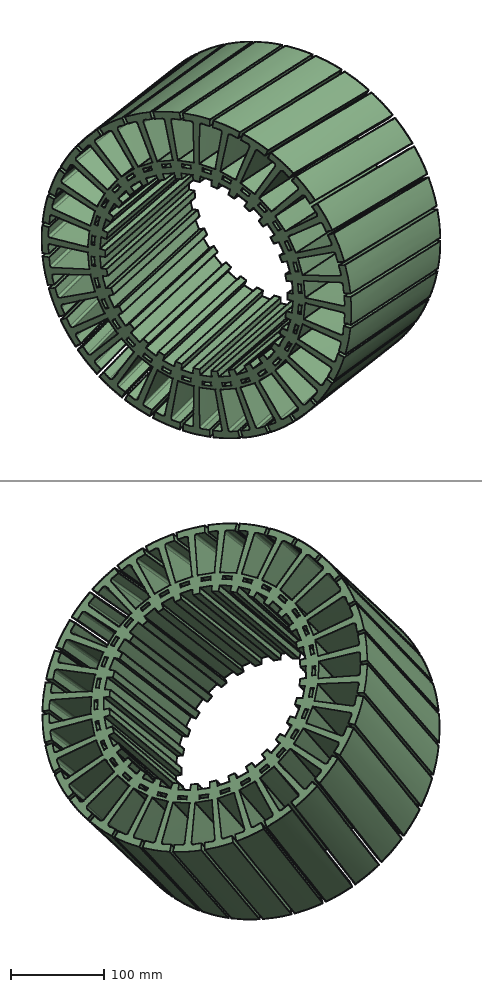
import cadquery as cq
import math


outer_radius = 189.5
bore_radius = 111.5
core_length = 200.0
skew_angle = 5.0

slot_count = 32
slot_pitch = 360.0 / slot_count

slot_inner_radius = 132.5
slot_outer_radius = 181.0
slot_inner_width = 19.5
slot_outer_width = 27.5
slot_corner_radius = 2.5
slot_gap_width = 3.8

duct_radius = 127.0
duct_width = 10.5
duct_height = 3.8

notch_radius = 117.8
notch_width = 14.0


def place(across, outward, angle):
    """Turn a point of a slot at twelve o'clock clockwise by an angle in degrees."""
    turn = math.radians(angle)
    x = across * math.cos(turn) + outward * math.sin(turn)
    y = outward * math.cos(turn) - across * math.sin(turn)
    return (x, y)


def on_circle(radius, half_width):
    """Distance outward at which a circle is a half width away from the slot centre line."""
    return math.sqrt(radius**2 - half_width**2)


def slot_half_profile():
    """Right half of a slot: floor corner, corner arc start, middle and end, then the gap edges."""
    floor_x = slot_inner_width / 2
    corner_x = slot_outer_width / 2
    flank_lean = math.atan2(corner_x - floor_x, slot_outer_radius - slot_inner_radius)
    corner_turn = math.pi / 2 + flank_lean
    tangent_length = slot_corner_radius * math.tan(corner_turn / 2)

    arc_start = (
        corner_x - tangent_length * math.sin(flank_lean),
        slot_outer_radius - tangent_length * math.cos(flank_lean),
    )
    arc_end = (corner_x - tangent_length, slot_outer_radius)
    middle_direction = corner_turn / 2
    arc_middle = (
        arc_end[0] + slot_corner_radius * math.sin(middle_direction),
        arc_end[1] - slot_corner_radius * (1 - math.cos(middle_direction)),
    )

    gap_x = slot_gap_width / 2
    gap_bottom = (gap_x, slot_outer_radius)
    gap_top = (gap_x, on_circle(outer_radius, gap_x))
    return [(floor_x, slot_inner_radius), arc_start, arc_middle, arc_end, gap_bottom, gap_top]


def rim_outline(plane):
    """Closed outer outline: rim arcs that dip into every winding slot."""
    half_profile = slot_half_profile()
    gap_x, gap_y = half_profile[-1]
    outline = plane.moveTo(*place(-gap_x, gap_y, slot_angles[0]))
    for angle in slot_angles:
        left_side = [place(-x, y, angle) for x, y in half_profile]
        right_side = [place(x, y, angle) for x, y in half_profile]

        floor, arc_start, arc_middle, arc_end, gap_bottom, _ = left_side
        outline = outline.lineTo(*gap_bottom).lineTo(*arc_end)
        outline = outline.threePointArc(arc_middle, arc_start).lineTo(*floor)

        floor, arc_start, arc_middle, arc_end, gap_bottom, gap_top = right_side
        outline = outline.lineTo(*floor).lineTo(*arc_start)
        outline = outline.threePointArc(arc_middle, arc_end)
        outline = outline.lineTo(*gap_bottom).lineTo(*gap_top)

        rim_middle = place(0, outer_radius, angle + slot_pitch / 2)
        next_gap = place(-gap_x, gap_y, angle + slot_pitch)
        outline = outline.threePointArc(rim_middle, next_gap)
    return outline.close()


def bore_outline(plane):
    """Closed inner outline: bore arcs broken by a notch under every slot."""
    half_width = notch_width / 2
    mouth_y = on_circle(bore_radius, half_width)
    outline = plane.moveTo(*place(-half_width, mouth_y, slot_angles[0]))
    for angle in slot_angles:
        outline = outline.lineTo(*place(-half_width, notch_radius, angle))
        outline = outline.lineTo(*place(half_width, notch_radius, angle))
        outline = outline.lineTo(*place(half_width, mouth_y, angle))
        bore_middle = place(0, bore_radius, angle + slot_pitch / 2)
        next_mouth = place(-half_width, mouth_y, angle + slot_pitch)
        outline = outline.threePointArc(bore_middle, next_mouth)
    return outline.close()


def duct_outline(plane, angle):
    """Rectangular duct centred under the slot at the given angle."""
    half_width = duct_width / 2
    bottom = duct_radius - duct_height / 2
    top = duct_radius + duct_height / 2
    corners = [(-half_width, bottom), (half_width, bottom), (half_width, top), (-half_width, top)]
    return plane.polyline([place(x, y, angle) for x, y in corners]).close()


first_slot_angle = slot_pitch / 2 + skew_angle
slot_angles = [first_slot_angle + index * slot_pitch for index in range(slot_count)]

section = cq.Workplane("XZ", origin=(0, core_length / 2, 0))
section = rim_outline(section)
section = bore_outline(section)
for duct_angle in slot_angles:
    section = duct_outline(section, duct_angle)
result = section.twistExtrude(core_length, skew_angle)